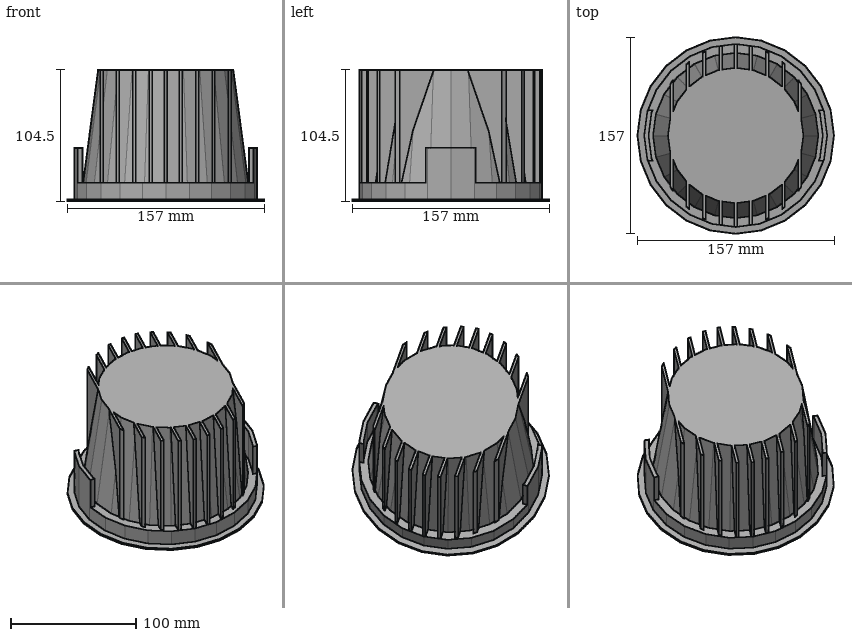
import cadquery as cq
import math

facet_count = 24

flange_radius = 78.5
total_height = 104.5

flange_thickness = 1.5
ring_radius = 73.0
ring_top = 14.8

core_bottom_radius = 66.0
core_top_radius = 54.0
core_height = total_height - ring_top

tab_top = 42.4
tab_thickness = 3.5
tab_width = 40.2

fin_thickness = 2.4
fin_outline_x = 63.7
fin_outline_y = ring_radius
first_fin_offset = 12.1
fin_pitch = 13.0
fins_per_side = 4


def faceted_outline(plane, x_radius, y_radius):
    """Closed polygon with its corners on an ellipse."""
    step = 2 * math.pi / facet_count
    corners = [
        (x_radius * math.cos(i * step), y_radius * math.sin(i * step))
        for i in range(facet_count)
    ]
    return plane.polyline(corners).close()


def faceted_disc(radius, height):
    return faceted_outline(cq.Workplane("XY"), radius, radius).extrude(height)


def make_base():
    flange = faceted_disc(flange_radius, flange_thickness)
    ring = faceted_disc(ring_radius, ring_top)
    return flange.union(ring)


def make_core():
    ring_face = cq.Workplane("XY", origin=(0, 0, ring_top))
    bottom = faceted_outline(ring_face, core_bottom_radius, core_bottom_radius)
    top_plane = bottom.workplane(offset=core_height)
    return faceted_outline(top_plane, core_top_radius, core_top_radius).loft(ruled=True)


def make_tabs():
    """Rim of the ring carried up to the tab height, kept only in a band along the X axis."""
    rim = faceted_disc(ring_radius, tab_top).cut(faceted_disc(ring_radius - tab_thickness, tab_top))
    band = cq.Workplane("XY").rect(2 * flange_radius, tab_width).extrude(tab_top)
    return rim.intersect(band)


def make_fins():
    """Plates spanning the whole part, trimmed to the elliptical outline."""
    centers = [(0, 0)]
    for i in range(fins_per_side):
        offset = first_fin_offset + i * fin_pitch
        centers += [(-offset, 0), (offset, 0)]
    ring_face = cq.Workplane("XY", origin=(0, 0, ring_top))
    plates = ring_face.pushPoints(centers).rect(fin_thickness, 2 * flange_radius).extrude(core_height)
    outline = faceted_outline(ring_face, fin_outline_x, fin_outline_y).extrude(core_height)
    return plates.intersect(outline)


result = make_base().union(make_tabs()).union(make_core()).union(make_fins())